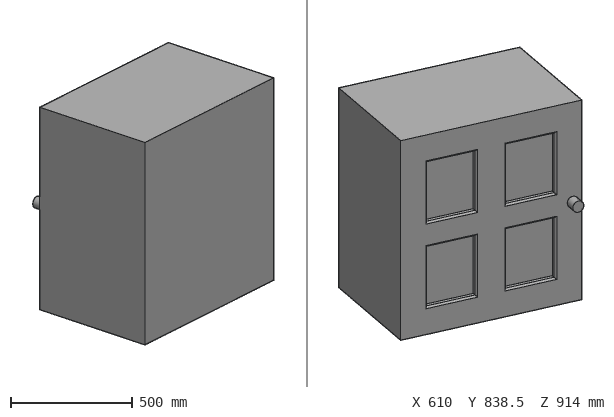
import cadquery as cq

depth = 560.0
width = 838.5
height = 914.0

side_margin = 116.0
top_margin = 119.0
panel_width = 240.5
panel_height = 289.0
bevel_width = 8.0
bevel_depth = 8.0
recess_depth = 25.0

knob_diameter = 51.0
knob_length = 50.0
knob_edge_distance = 42.0


def panel_recess(y, z):
    """Recess with a bevelled rim above straight walls, centred at (y, z)."""
    floor_width = panel_width - 2 * bevel_width
    floor_height = panel_height - 2 * bevel_width
    bevel = (
        cq.Workplane("YZ", origin=(0, y, z))
        .rect(panel_width, panel_height)
        .workplane(offset=bevel_depth)
        .rect(floor_width, floor_height)
        .loft(ruled=True)
    )
    pocket = (
        cq.Workplane("YZ", origin=(bevel_depth, y, z))
        .rect(floor_width, floor_height)
        .extrude(recess_depth - bevel_depth)
    )
    return bevel.union(pocket)


cabinet = cq.Workplane("XY").box(depth, width, height, centered=(False, True, True))

panel_y = width / 2 - side_margin - panel_width / 2
panel_z = height / 2 - top_margin - panel_height / 2
for y in (-panel_y, panel_y):
    for z in (-panel_z, panel_z):
        cabinet = cabinet.cut(panel_recess(y, z))

knob = (
    cq.Workplane("YZ", origin=(0, knob_edge_distance - width / 2, 0))
    .circle(knob_diameter / 2)
    .extrude(-knob_length)
)

result = cabinet.union(knob)